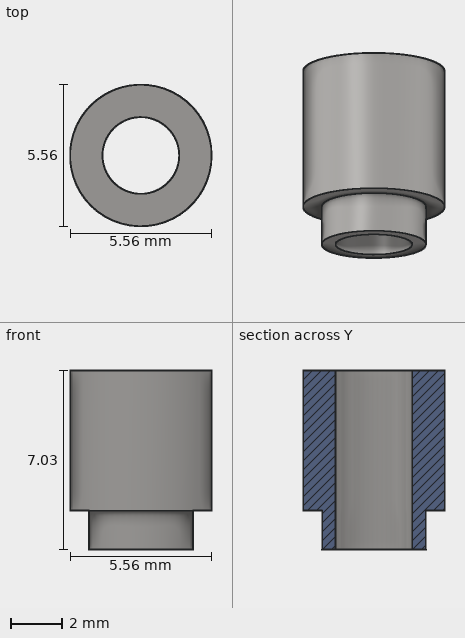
import cadquery as cq

body_diameter = 5.56
spigot_diameter = 4.09
bore_diameter = 3.0
total_height = 7.03
spigot_height = 1.53
body_height = total_height - spigot_height


def make_spigot():
    """Narrow lower end, standing on the XY plane."""
    return cq.Workplane("XY").circle(spigot_diameter / 2).extrude(spigot_height)


def make_body():
    """Wide upper cylinder, resting on top of the spigot."""
    return (
        cq.Workplane("XY")
        .workplane(offset=spigot_height)
        .circle(body_diameter / 2)
        .extrude(body_height)
    )


def make_bore():
    """Cylinder to remove along the full height of the spacer."""
    return cq.Workplane("XY").circle(bore_diameter / 2).extrude(total_height)


result = make_spigot().union(make_body()).cut(make_bore())